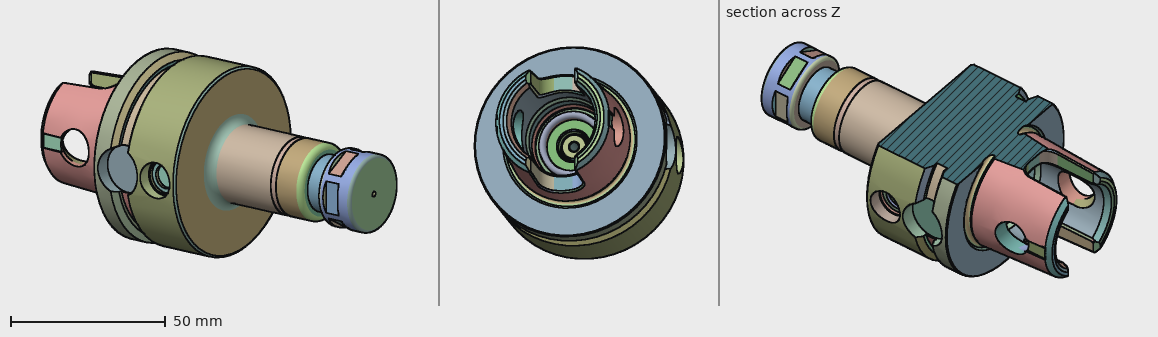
import cadquery as cq
import math


TOTAL_LENGTH = 122.0
SHANK_LENGTH = 32.1
FLANGE_LENGTH = 33.0
NOSE_END = 70.2
NUT_START = 76.9
TIP_X = -SHANK_LENGTH
FRONT_X = TOTAL_LENGTH - SHANK_LENGTH

TAPER_SLOPE = 1 / 20
TAPER_BIG_R = 20.1
TAPER_END_X = -1.6
TIP_CHAMFER_LENGTH = 1.8
TIP_FACE_R = 17.2
MOUTH_R = 16.0

RELIEF_NECK_X = -0.7
RELIEF_NECK_R = 19.6
RELIEF_FILLET = 1.0
RELIEF_FLOOR_R = 21.4
RELIEF_OUTER_R = 22.1
RELIEF_DEPTH = 0.7

FLANGE_R = 63.0 / 2
FLANGE_FACE_CHAMFER = 0.4
FLANGE_BACK_CHAMFER = 0.7
GROOVE_START = 6.3
GROOVE_END = 13.3
GROOVE_WALL_R = 29.2
GROOVE_FLOOR_R = 27.9
GROOVE_BEVEL = 1.5

NOSE_R = 26.0 / 2
NOSE_ROOT_FILLET = 2.9
NOSE_END_ROUND = 2.0
RECESS_START = 57.8
RECESS_END = 59.9
RECESS_DEPTH = 0.1
NECK_R = 19.0 / 2

NUT_R = 26.0 / 2
NUT_ROUND = 1.1
FLAT_COUNT = 6
FLAT_MIDDLE = 82.0
FLAT_LENGTH = 5.0
FLAT_APOTHEM = 11.8
FLAT_END_SLOPE = 22.0

MOUTH_STEP_DEPTH = 0.4
MOUTH_STEP_R = 14.9
MOUTH_DEPTH = 2.7
BORE_R = 13.8
BORE_END = -3.9
SECOND_BORE_START = -2.0
SECOND_BORE_R = 13.0
SECOND_BORE_END = 2.9
THIRD_BORE_START = 4.8
BORE_FLOOR_R = 12.3
BORE_FLOOR_X = 6.1

SLEEVE_OUTER_R = 11.0
SLEEVE_INNER_R = 8.7
SLEEVE_HEIGHT = 3.0

SOCKET_R = 10.0 / 2
SOCKET_MOUTH_R = 11 / 2
SOCKET_DEPTH = 4.9
SCREW_R = 8.8 / 2
SCREW_FACE_R = 7.8 / 2
SCREW_FACE_DEPTH = 1.2
PASSAGE_MOUTH_R = 3.5 / 2
PASSAGE_R = 3.0 / 2
PASSAGE_DEPTH = 24.4
JET_R = 1.7 / 2

SLOT_WIDTH = 14.4
SLOT_END_X = -11.6
SLOT_CORNER = 4.1
SLOT_EDGE_CHAMFER = 0.6
SLOT_FLARE_LENGTH = 2.0
SLOT_FLARE = 1.3
BALL_HOLE_D = 12.5
BALL_HOLE_X = -17.1
BALL_RAMP_TILT = 35.0
BALL_RAMP_Y = 15.4
KEY_FLAT_WIDTH = 4.9
KEY_FLAT_Y = 18.2

GRIP_HOLE_D = 16.0
GRIP_HOLE_X = 9.8
GRIP_HOLE_FLOOR = 26.2
SCREW_HOLE_D = 12.0
SCREW_HOLE_X = 24.9
SCREW_HOLE_FLOOR = 26.8
SCREW_STEP_D = 11.0
SCREW_STEP_FLOOR = 25.6
SCREW_TIP_D = 8.0
SCREW_TIP_FLOOR = 24.4


def taper_radius(x):
    return TAPER_BIG_R + (x - TAPER_END_X) * TAPER_SLOPE


def turned_body():
    taper_start = TIP_X + TIP_CHAMFER_LENGTH
    diag = math.sqrt(0.5)
    fillet_x = RELIEF_DEPTH - RELIEF_FILLET
    root_x = FLANGE_LENGTH + NOSE_ROOT_FILLET
    root_r = NOSE_R + NOSE_ROOT_FILLET
    round_x = NOSE_END - NOSE_END_ROUND
    round_r = NOSE_R - NOSE_END_ROUND
    nut_round_r = NUT_R - NUT_ROUND
    profile = (
        cq.Workplane("XY")
        .moveTo(TIP_X, 0)
        .lineTo(TIP_X, TIP_FACE_R)
        .lineTo(taper_start, taper_radius(taper_start))
        .lineTo(TAPER_END_X, TAPER_BIG_R)
        .lineTo(RELIEF_NECK_X, RELIEF_NECK_R)
        .lineTo(fillet_x, RELIEF_NECK_R)
        .threePointArc(
            (fillet_x + RELIEF_FILLET * diag, RELIEF_NECK_R + RELIEF_FILLET * (1 - diag)),
            (RELIEF_DEPTH, RELIEF_NECK_R + RELIEF_FILLET),
        )
        .lineTo(RELIEF_DEPTH, RELIEF_FLOOR_R)
        .lineTo(0, RELIEF_OUTER_R)
        .lineTo(0, FLANGE_R - FLANGE_FACE_CHAMFER)
        .lineTo(FLANGE_FACE_CHAMFER, FLANGE_R)
        .lineTo(GROOVE_START, FLANGE_R)
        .lineTo(GROOVE_START + GROOVE_BEVEL, GROOVE_WALL_R)
        .lineTo(GROOVE_START + GROOVE_BEVEL, GROOVE_FLOOR_R)
        .lineTo(GROOVE_END - GROOVE_BEVEL, GROOVE_FLOOR_R)
        .lineTo(GROOVE_END - GROOVE_BEVEL, GROOVE_WALL_R)
        .lineTo(GROOVE_END, FLANGE_R)
        .lineTo(FLANGE_LENGTH - FLANGE_BACK_CHAMFER, FLANGE_R)
        .lineTo(FLANGE_LENGTH, FLANGE_R - FLANGE_BACK_CHAMFER)
        .lineTo(FLANGE_LENGTH, root_r)
        .threePointArc(
            (root_x - NOSE_ROOT_FILLET * diag, root_r - NOSE_ROOT_FILLET * diag),
            (root_x, NOSE_R),
        )
        .lineTo(RECESS_START, NOSE_R)
        .lineTo(RECESS_START, NOSE_R - RECESS_DEPTH)
        .lineTo(RECESS_END, NOSE_R - RECESS_DEPTH)
        .lineTo(RECESS_END, NOSE_R)
        .lineTo(round_x, NOSE_R)
        .threePointArc(
            (round_x + NOSE_END_ROUND * diag, round_r + NOSE_END_ROUND * diag),
            (NOSE_END, round_r),
        )
        .lineTo(NOSE_END, NECK_R)
        .lineTo(NUT_START, NECK_R)
        .lineTo(NUT_START, nut_round_r)
        .threePointArc(
            (NUT_START + NUT_ROUND * (1 - diag), nut_round_r + NUT_ROUND * diag),
            (NUT_START + NUT_ROUND, NUT_R),
        )
        .lineTo(FRONT_X - NUT_ROUND, NUT_R)
        .threePointArc(
            (FRONT_X - NUT_ROUND * (1 - diag), nut_round_r + NUT_ROUND * diag),
            (FRONT_X, nut_round_r),
        )
        .lineTo(FRONT_X, 0)
        .close()
    )
    return profile.revolve(360, (0, 0, 0), (1, 0, 0))


def stepped_bore():
    sleeve_wall = SLEEVE_OUTER_R - SLEEVE_INNER_R
    sleeve_round_x = BORE_FLOOR_X - SLEEVE_HEIGHT + sleeve_wall / 2
    sleeve_mid_r = (SLEEVE_OUTER_R + SLEEVE_INNER_R) / 2
    mouth_cone = SOCKET_MOUTH_R - SOCKET_R
    screw_cone = SCREW_R - SCREW_FACE_R
    passage_cone = PASSAGE_MOUTH_R - PASSAGE_R
    socket_end_x = BORE_FLOOR_X + SOCKET_DEPTH
    screw_face_x = BORE_FLOOR_X + SCREW_FACE_DEPTH
    profile = (
        cq.Workplane("XY")
        .moveTo(TIP_X, 0)
        .lineTo(TIP_X, MOUTH_R)
        .lineTo(TIP_X + MOUTH_STEP_DEPTH, MOUTH_STEP_R)
        .lineTo(TIP_X + MOUTH_DEPTH, BORE_R)
        .lineTo(BORE_END, BORE_R)
        .lineTo(SECOND_BORE_START, SECOND_BORE_R)
        .lineTo(SECOND_BORE_END, SECOND_BORE_R)
        .lineTo(THIRD_BORE_START, BORE_FLOOR_R)
        .lineTo(BORE_FLOOR_X, BORE_FLOOR_R)
        .lineTo(BORE_FLOOR_X, SLEEVE_OUTER_R)
        .lineTo(sleeve_round_x, SLEEVE_OUTER_R)
        .threePointArc(
            (sleeve_round_x - sleeve_wall / 2, sleeve_mid_r),
            (sleeve_round_x, SLEEVE_INNER_R),
        )
        .lineTo(BORE_FLOOR_X, SLEEVE_INNER_R)
        .lineTo(BORE_FLOOR_X, SOCKET_MOUTH_R)
        .lineTo(BORE_FLOOR_X + mouth_cone, SOCKET_R)
        .lineTo(socket_end_x, SOCKET_R)
        .lineTo(socket_end_x, SCREW_R)
        .lineTo(screw_face_x + screw_cone, SCREW_R)
        .lineTo(screw_face_x, SCREW_FACE_R)
        .lineTo(screw_face_x, PASSAGE_MOUTH_R)
        .lineTo(screw_face_x + passage_cone, PASSAGE_R)
        .lineTo(BORE_FLOOR_X + PASSAGE_DEPTH, PASSAGE_R)
        .lineTo(BORE_FLOOR_X + PASSAGE_DEPTH, JET_R)
        .lineTo(FRONT_X, JET_R)
        .lineTo(FRONT_X, 0)
        .close()
    )
    return profile.revolve(360, (0, 0, 0), (1, 0, 0))


def drive_slot():
    height = 4 * TAPER_BIG_R
    half_width = SLOT_WIDTH / 2
    flare_width = half_width + SLOT_FLARE
    straight_x = TIP_X + SLOT_FLARE_LENGTH
    outline = [
        (TIP_X, -flare_width),
        (straight_x, -half_width),
        (SLOT_END_X, -half_width),
        (SLOT_END_X, half_width),
        (straight_x, half_width),
        (TIP_X, flare_width),
    ]
    slot = cq.Workplane("XY", origin=(0, 0, -height / 2)).polyline(outline).close().extrude(height)
    return slot.edges("|Z and >X").fillet(SLOT_CORNER)


def slot_edges(body):
    margin = 0.01
    half_width = SLOT_WIDTH / 2 + margin
    rims = []
    for edge in body.edges("not(|Z or |Y)").vals():
        box = edge.BoundingBox()
        behind_flare = box.xmin > TIP_X + SLOT_FLARE_LENGTH - margin
        within_slot = box.xmax < SLOT_END_X + margin and max(box.ymax, -box.ymin) < half_width
        if behind_flare and within_slot:
            rims.append(edge)
    return body.newObject(rims)


def ball_hole(side):
    plane = cq.Plane(origin=(BALL_HOLE_X, side * BALL_RAMP_Y, 0), xDir=(1, 0, 0), normal=(0, side, 0))
    outer = cq.Workplane(plane).circle(BALL_HOLE_D / 2).extrude(TAPER_BIG_R)
    straight = cq.Workplane(plane).circle(BALL_HOLE_D / 2).extrude(BORE_R / 2 - BALL_RAMP_Y)
    ramp = straight.rotate(
        (BALL_HOLE_X, side * BALL_RAMP_Y, 0), (BALL_HOLE_X, side * BALL_RAMP_Y, 1), -side * BALL_RAMP_TILT
    )
    return outer.union(straight).union(ramp)


def radial_hole(x, diameter, floor_y, side):
    plane = cq.Plane(origin=(x, side * floor_y, 0), xDir=(1, 0, 0), normal=(0, side, 0))
    return cq.Workplane(plane).circle(diameter / 2).extrude(FLANGE_R - floor_y + 1.2)


def key_flat(side):
    start_x = TIP_X + TIP_CHAMFER_LENGTH
    cutter = cq.Workplane("XY").box(BALL_HOLE_X - start_x, 2.5, KEY_FLAT_WIDTH)
    return cutter.translate(((start_x + BALL_HOLE_X) / 2, side * (KEY_FLAT_Y + 1.2), 0))


def nut_flat(angle):
    plane = cq.Plane(origin=(FLAT_MIDDLE, -FLAT_APOTHEM, 0), xDir=(1, 0, 0), normal=(0, -1, 0))
    pocket = cq.Workplane(plane).rect(FLAT_LENGTH, NUT_R).extrude(NUT_R - FLAT_APOTHEM, taper=-FLAT_END_SLOPE)
    return pocket.rotate((0, 0, 0), (1, 0, 0), angle)


result = turned_body().cut(stepped_bore()).cut(drive_slot())
result = slot_edges(result).chamfer(SLOT_EDGE_CHAMFER)
for side in (-1, 1):
    result = result.cut(ball_hole(side))
    result = result.cut(key_flat(side))
    result = result.cut(radial_hole(GRIP_HOLE_X, GRIP_HOLE_D, GRIP_HOLE_FLOOR, side))
    result = result.cut(radial_hole(SCREW_HOLE_X, SCREW_HOLE_D, SCREW_HOLE_FLOOR, side))
    result = result.cut(radial_hole(SCREW_HOLE_X, SCREW_STEP_D, SCREW_STEP_FLOOR, side))
    result = result.cut(radial_hole(SCREW_HOLE_X, SCREW_TIP_D, SCREW_TIP_FLOOR, side))
for index in range(FLAT_COUNT):
    result = result.cut(nut_flat(index * 360 / FLAT_COUNT))